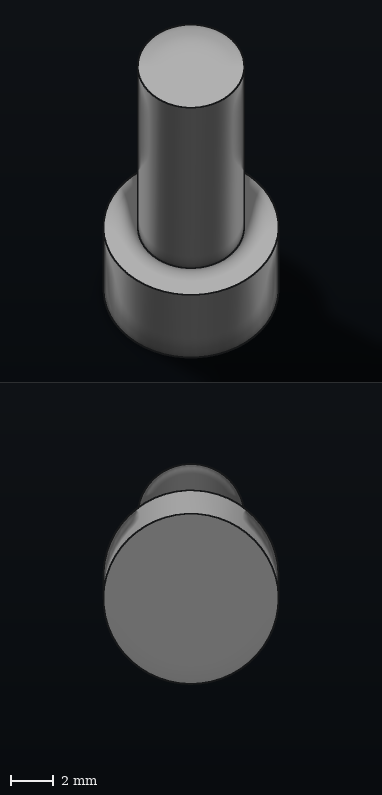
import cadquery as cq

total_height = 16.7
head_height = 4.7
head_diameter = 8.2
shank_diameter = 5.0
shank_length = total_height - head_height

head = cq.Workplane("XY").circle(head_diameter / 2).extrude(head_height)

result = head.faces(">Z").workplane().circle(shank_diameter / 2).extrude(shank_length)